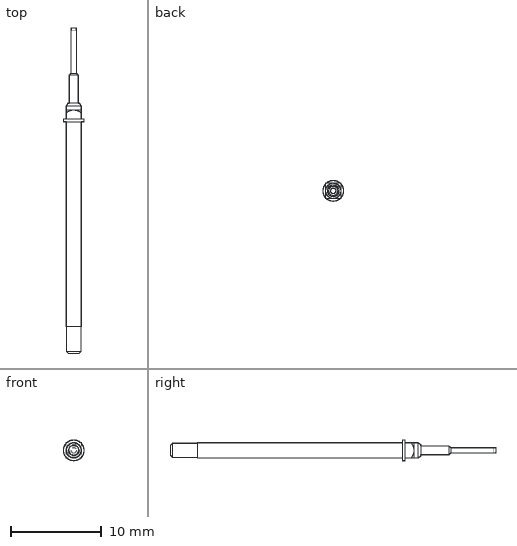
import cadquery as cq
import math

overall_length = 35.8
tail_end = -overall_length / 2
tip_end = overall_length / 2

barrel_diameter = 1.7
cap_diameter = 1.6
flange_diameter = 2.3
shoulder_diameter = 1.3
sleeve_diameter = 1.0
pin_diameter = 0.6

cap_length = 3.0
cap_chamfer = 0.25
barrel_length = 22.5
flange_thickness = 0.32
square_length = 0.95
neck_length = 0.43
shoulder_cone_length = 0.32
sleeve_length = 3.08
sleeve_cone_length = 0.2
tip_length = 0.3
tip_taper = 0.018

square_width = barrel_diameter
square_bevel_angle = 40.0

cap_top = tail_end + cap_length
flange_bottom = cap_top + barrel_length
flange_top = flange_bottom + flange_thickness
square_top = flange_top + square_length
neck_top = square_top + neck_length
shoulder_top = neck_top + shoulder_cone_length
sleeve_top = shoulder_top + sleeve_length
pin_bottom = sleeve_top + sleeve_cone_length


def revolve_profile(points):
    """Turn a (radius, y) outline about the Y axis."""
    return cq.Workplane("XY").polyline(points).close().revolve(360, (0, 0), (0, 1))


def turned_body():
    cap_radius = cap_diameter / 2
    barrel_radius = barrel_diameter / 2
    flange_radius = flange_diameter / 2
    shoulder_radius = shoulder_diameter / 2
    sleeve_radius = sleeve_diameter / 2
    pin_radius = pin_diameter / 2
    return revolve_profile([
        (0, tail_end),
        (cap_radius - cap_chamfer, tail_end),
        (cap_radius, tail_end + cap_chamfer),
        (cap_radius, cap_top),
        (barrel_radius, cap_top),
        (barrel_radius, flange_bottom),
        (flange_radius, flange_bottom),
        (flange_radius, flange_top),
        (barrel_radius, flange_top),
        (barrel_radius, neck_top),
        (shoulder_radius, shoulder_top),
        (sleeve_radius, shoulder_top),
        (sleeve_radius, sleeve_top),
        (pin_radius, pin_bottom),
        (pin_radius, tip_end - tip_length),
        (pin_radius - tip_taper, tip_end),
        (0, tip_end),
    ])


def wrench_square():
    """Square block on the flange, trimmed by a cone that bevels its corners."""
    block = (
        cq.Workplane("XY")
        .box(square_width, square_length, square_width)
        .translate((0, flange_top + square_length / 2, 0))
    )
    bevel_rise = math.tan(math.radians(square_bevel_angle))
    cone_radius = square_width
    cone_drop = (cone_radius - square_width / 2) * bevel_rise
    envelope = revolve_profile([
        (0, flange_bottom),
        (cone_radius, flange_bottom),
        (cone_radius, square_top - cone_drop),
        (square_width / 2, square_top),
        (0, square_top),
    ])
    return block.intersect(envelope)


result = turned_body().union(wrench_square())